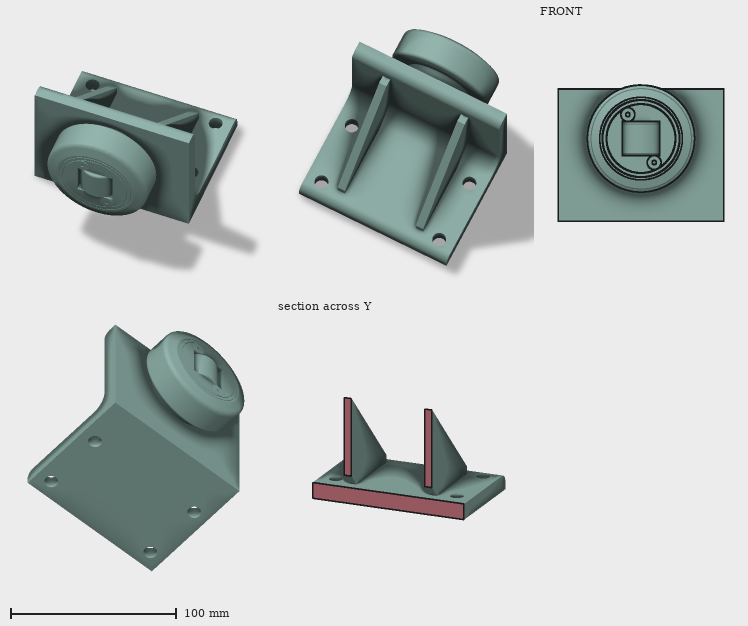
import cadquery as cq
import math

width = 100.0
leg = 80.0
thickness = 10.1
inner_radius = 10.0
tip_radius = 5.0

hole_diameter = 8.4
hole_margin = 10.1
hole_pitch = 40.0

gusset_thickness = 5.0
gusset_centre = 26.5
gusset_setback = 10.1
gusset_end = leg - gusset_setback
gusset_shoulder = 5.0
gusset_relief = 15.0

axis_height = 50.1
neck_diameter = 42.1
neck_length = 7.0
collar_diameter = 42.0
collar_length = 0.4
undercut_diameter = 41.1
wheel_diameter = 64.8
wheel_back = 7.5
wheel_front = 28.1
rear_round = 1.7
front_round = 3.1
face_diameter = 50.0
face_slope = 20.0

groove_outer_diameters = (47.0, 42.0)
groove_width = 0.3
groove_depth = 0.5

window_width = 22.8
window_height = 20.9
window_depth = 6.6
roller_radius = 13.0
roller_length = 20.4
roller_round = 1.2
roller_front = 30.5

screw_diameter = 8.4
socket_diameter = 2.5
socket_depth = 0.4
screw_front = 28.4
screw_seat_depth = 1.1
screw_x = 8.0
screw_rise = 14.5


def disc(diameter, start, end, x=0.0, rise=0.0):
    """Cylinder along -Y between two distances from the upright leg, placed from the wheel axis."""
    plane = cq.Plane(origin=(x, -start, axis_height + rise), xDir=(1, 0, 0), normal=(0, -1, 0))
    return cq.Workplane(plane).circle(diameter / 2).extrude(end - start)


def make_bracket():
    profile = (
        cq.Workplane("YZ")
        .moveTo(0, 0)
        .lineTo(leg, 0)
        .lineTo(leg, thickness - tip_radius)
        .radiusArc((leg - tip_radius, thickness), -tip_radius)
        .lineTo(thickness + inner_radius, thickness)
        .radiusArc((thickness, thickness + inner_radius), inner_radius)
        .lineTo(thickness, leg - tip_radius)
        .radiusArc((thickness - tip_radius, leg), -tip_radius)
        .lineTo(0, leg)
        .close()
    )
    bracket = profile.extrude(width / 2, both=True)
    far_row = leg - hole_margin
    hole_x = width / 2 - hole_margin
    hole_points = [(x, y) for x in (-hole_x, hole_x) for y in (far_row, far_row - hole_pitch)]
    holes = cq.Workplane("XY").pushPoints(hole_points).circle(hole_diameter / 2).extrude(thickness)
    return bracket.cut(holes)


def make_gusset(centre_x):
    shoulder = thickness + gusset_shoulder
    relief = thickness + gusset_relief
    outline = [
        (relief, thickness),
        (gusset_end, thickness),
        (gusset_end, shoulder),
        (shoulder, gusset_end),
        (thickness, gusset_end),
        (thickness, relief),
    ]
    plate = cq.Workplane("YZ").polyline(outline).close().extrude(gusset_thickness / 2, both=True)
    return plate.translate((centre_x, 0, 0))


def make_wheel():
    wheel_radius = wheel_diameter / 2
    face_radius = face_diameter / 2
    slope_drop = (wheel_radius - face_radius) * math.tan(math.radians(face_slope))
    outline = [
        (0, -wheel_back),
        (wheel_radius, -wheel_back),
        (wheel_radius, slope_drop - wheel_front),
        (face_radius, -wheel_front),
        (0, -wheel_front),
    ]
    wheel = cq.Workplane("XY").polyline(outline).close().revolve(360, (0, 0), (0, 1))
    wheel = wheel.edges("%CIRCLE").edges("<<Y[1]").fillet(front_round)
    wheel = wheel.edges("%CIRCLE").edges(">Y").fillet(rear_round)
    wheel = wheel.translate((0, 0, axis_height))
    floor = wheel_front - groove_depth
    for outer in groove_outer_diameters:
        inner = outer - 2 * groove_width
        ring = disc(outer, floor, wheel_front).cut(disc(inner, floor, wheel_front))
        wheel = wheel.cut(ring)
    return wheel


def make_neck():
    neck = disc(neck_diameter, collar_length, neck_length)
    collar = disc(collar_diameter, 0, collar_length)
    undercut = disc(undercut_diameter, neck_length, wheel_back)
    return neck.union(collar).union(undercut)


def make_window():
    window = cq.Workplane("XY").box(window_width, window_depth, window_height)
    return window.translate((0, window_depth / 2 - wheel_front, axis_height))


def make_roller():
    roller = cq.Workplane("XY").circle(roller_radius).extrude(roller_length / 2, both=True)
    roller = roller.edges("%CIRCLE").edges(">Z or <Z").fillet(roller_round)
    return roller.translate((0, roller_radius - roller_front, axis_height))


result = make_bracket()
for gusset_x in (-gusset_centre, gusset_centre):
    result = result.union(make_gusset(gusset_x))
result = result.union(make_neck())
bearing = make_wheel().cut(make_window()).union(make_roller())
result = result.union(bearing)
screw_seat = wheel_front - screw_seat_depth
for side in (-1, 1):
    x = side * screw_x
    rise = -side * screw_rise
    result = result.union(disc(screw_diameter, screw_seat, screw_front, x, rise))
    result = result.cut(disc(socket_diameter, screw_front - socket_depth, screw_front, x, rise))